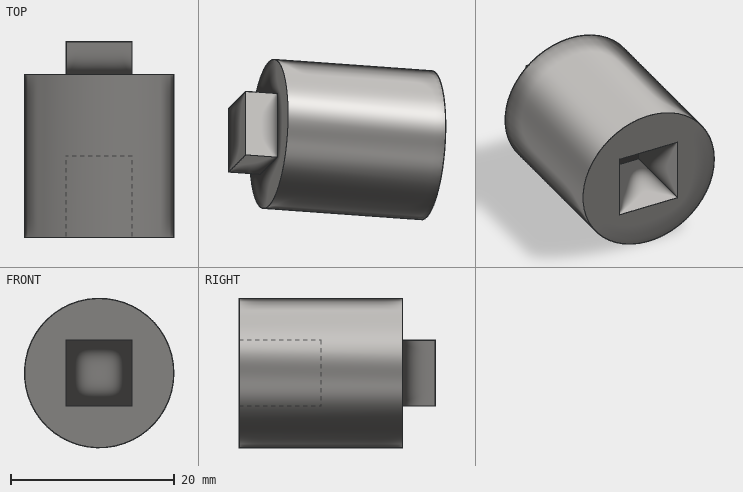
import cadquery as cq

total_length = 24.0
tang_length = 4.0
body_diameter = 18.3
square_side = 8.1

body_length = total_length - tang_length
socket_depth = body_length / 2


def square_bar(start_y, length):
    """Square bar on the Y axis, running from start_y toward +Y."""
    return cq.Workplane("XY").box(
        square_side, length, square_side, centered=(True, False, True)
    ).translate((0, start_y, 0))


body = cq.Workplane("XZ").circle(body_diameter / 2).extrude(-body_length)

tang = square_bar(body_length, tang_length)
socket = square_bar(0, socket_depth)

result = body.union(tang).cut(socket)